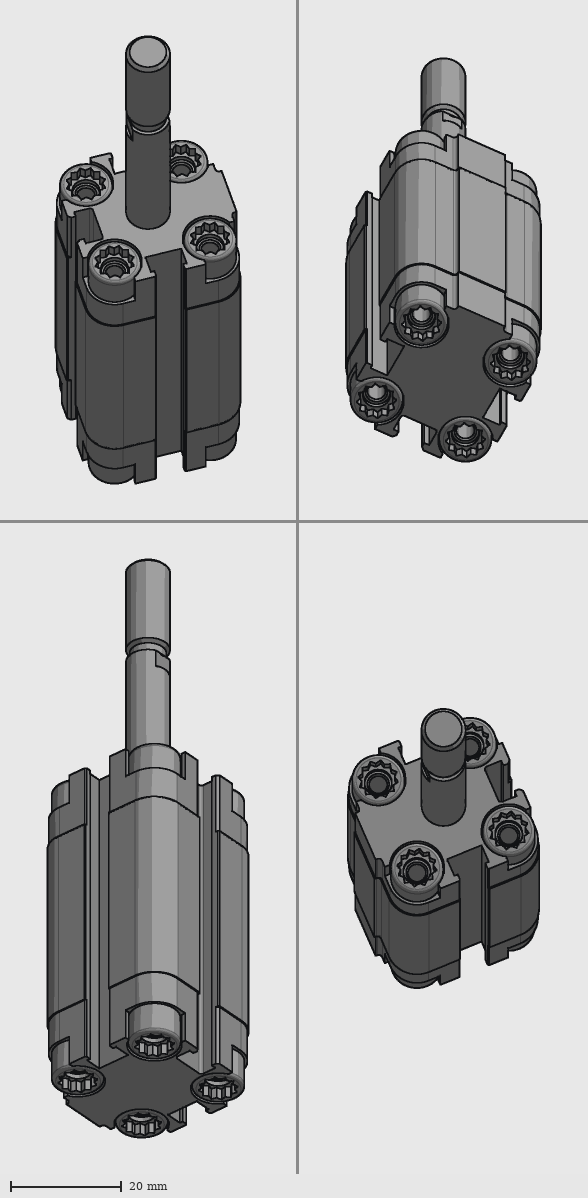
import cadquery as cq
import math


total_height = 112.5
body_height = 63.0
cap_height = 12.4
barrel_height = body_height - 2 * cap_height

barrel_half_width = 14.5
cap_inset = 0.2
screw_offset = 9.0
rib_height = 1.0
rib_half_width = 4.7
rib_root_radius = 0.7

front_slot_mouth_half_width = 2.6
front_slot_floor = 9.5
front_slot_lip_start = 12.8
front_slot_half_width = 3.6
front_slot_floor_fillet = 0.6
side_slot_mouth_half_width = 2.7
side_slot_floor = 9.7
side_slot_lip_start = 13.0
side_slot_half_width = 3.4
mouth_chamfer_size = 0.2
cap_front_chamfer_size = 0.6

boss_diameter = 9.5
boss_recess_diameter = 9.9
boss_height = 6.0
boss_pocket_edge = 6.6
boss_rim_fillet = 0.7
socket_teeth = 12
socket_outer_diameter = 7.2
socket_inner_diameter = 6.0
socket_depth = 2.2
counterbore_diameter = 5.0
counterbore_depth = 3.3
screw_hole_diameter = 3.3
countersink_diameter = 3.9

rod_diameter = 8.0
rod_tip_chamfer = 0.7
neck_diameter = 6.6
neck_bottom = 92.4
thread_bottom = 95.0
flat_spacing = 7.0
flat_height = 3.4

screw_centres = [
    (x, y)
    for x in (-screw_offset, screw_offset)
    for y in (-screw_offset, screw_offset)
]


def turned_about_axis(cutter, angle):
    """Cutter for the -Y side, turned about the Z axis to another side."""
    return cutter.rotate((0, 0, 0), (0, 0, 1), angle)


def rib(height, half_width):
    """Flat rib on the +Y face, with rounded roots."""
    tip = half_width + rib_height
    root_start = half_width + rib_root_radius
    root_end = rib_half_width + rib_root_radius
    arc_offset = rib_root_radius * (1 - math.sqrt(0.5))
    arc_x = rib_half_width + arc_offset
    arc_y = half_width + arc_offset
    return (
        cq.Workplane("XY")
        .moveTo(-root_end, 0)
        .lineTo(-root_end, half_width)
        .threePointArc((-arc_x, arc_y), (-rib_half_width, root_start))
        .lineTo(-rib_half_width, tip)
        .lineTo(rib_half_width, tip)
        .lineTo(rib_half_width, root_start)
        .threePointArc((arc_x, arc_y), (root_end, half_width))
        .lineTo(root_end, 0)
        .close()
        .extrude(height)
    )


def mouth_chamfer(height, half_width, mouth_half_width, chamfer):
    """Cutter that widens a slot mouth at the -Y face by a 45 degree chamfer on each side."""
    return (
        cq.Workplane("XY")
        .polyline([
            (-mouth_half_width - chamfer, -half_width),
            (-mouth_half_width, chamfer - half_width),
            (mouth_half_width, chamfer - half_width),
            (mouth_half_width + chamfer, -half_width),
        ])
        .close()
        .extrude(height)
    )


def body_section(height, inset, front_mouth_chamfer):
    """Length of the rounded square profile with its rib and chamfered slot mouths."""
    half_width = barrel_half_width - inset
    section = (
        cq.Workplane("XY")
        .rect(2 * half_width, 2 * half_width)
        .extrude(height)
        .edges("|Z")
        .fillet(half_width - screw_offset)
        .union(rib(height, half_width))
        .cut(mouth_chamfer(height, half_width, front_slot_mouth_half_width, front_mouth_chamfer))
    )
    side_chamfer = mouth_chamfer(height, half_width, side_slot_mouth_half_width, mouth_chamfer_size)
    for angle in (-90, 90):
        section = section.cut(turned_about_axis(side_chamfer, angle))
    return section


def t_slot(floor, lip_start, half_width, mouth_half_width):
    """T-slot cutter along the whole housing, open through the -Y face."""
    channel_depth = lip_start - floor
    channel = (
        cq.Workplane("XY")
        .center(0, -floor - channel_depth / 2)
        .rect(2 * half_width, channel_depth)
        .extrude(body_height)
    )
    mouth_depth = barrel_half_width - floor
    mouth = (
        cq.Workplane("XY")
        .center(0, -floor - mouth_depth / 2)
        .rect(2 * mouth_half_width, mouth_depth)
        .extrude(body_height)
    )
    return channel.union(mouth)


def boss_clearance(x, y):
    """Material removed around the boss at (x, y) on the upper end of the housing."""
    pocket_floor = body_height - boss_height
    boss_radius = boss_diameter / 2
    boss = (
        cq.Workplane("XY", origin=(x, y, pocket_floor))
        .circle(boss_radius)
        .extrude(boss_height)
        .faces(">Z")
        .edges()
        .fillet(boss_rim_fillet)
    )
    recess = (
        cq.Workplane("XY", origin=(x, y, pocket_floor))
        .circle(boss_recess_diameter / 2)
        .extrude(boss_height)
    )

    corner_size = barrel_half_width - boss_pocket_edge
    corner_centre = boss_pocket_edge + corner_size / 2
    corner = (
        cq.Workplane("XY", origin=(0, 0, pocket_floor))
        .center(math.copysign(corner_centre, x), math.copysign(corner_centre, y))
        .rect(corner_size, corner_size)
        .extrude(boss_height)
    )
    return corner.union(recess).cut(boss)


def screw_socket(x, y):
    """Toothed socket in the upper boss at (x, y), above a counterbore with a countersunk floor."""
    outline = []
    for i in range(2 * socket_teeth):
        angle = math.pi * i / socket_teeth
        radius = (socket_inner_diameter if i % 2 else socket_outer_diameter) / 2
        outline.append((radius * math.cos(angle), radius * math.sin(angle)))
    socket = (
        cq.Workplane("XY", origin=(0, 0, body_height - socket_depth))
        .polyline(outline)
        .close()
        .extrude(socket_depth)
    )

    floor = body_height - counterbore_depth
    counterbore_radius = counterbore_diameter / 2
    hole_radius = screw_hole_diameter / 2
    countersink_radius = countersink_diameter / 2
    countersink_bottom = floor - (countersink_radius - hole_radius)
    stepped_bore = (
        cq.Workplane("XZ")
        .moveTo(0, body_height)
        .lineTo(counterbore_radius, body_height)
        .lineTo(counterbore_radius, floor)
        .lineTo(countersink_radius, floor)
        .lineTo(hole_radius, countersink_bottom)
        .lineTo(0, countersink_bottom)
        .close()
        .revolve(360, (0, 0), (0, 1))
    )
    return socket.union(stepped_bore).translate((x, y, 0))


def make_housing():
    """Housing with a slightly smaller cap section at each end and the same bosses at both ends."""
    cap = body_section(cap_height, cap_inset, cap_front_chamfer_size)
    barrel = body_section(barrel_height, 0, mouth_chamfer_size)
    housing = (
        cap
        .union(barrel.translate((0, 0, cap_height)))
        .union(cap.translate((0, 0, body_height - cap_height)))
    )

    front_slot = t_slot(
        front_slot_floor, front_slot_lip_start, front_slot_half_width, front_slot_mouth_half_width
    )
    housing = housing.cut(front_slot.edges("|Z and >Y").fillet(front_slot_floor_fillet))
    side_slot = t_slot(side_slot_floor, side_slot_lip_start, side_slot_half_width, side_slot_mouth_half_width)
    for angle in (-90, 90):
        housing = housing.cut(turned_about_axis(side_slot, angle))

    housing = housing.cut(
        cq.Workplane("XY").pushPoints(screw_centres).circle(screw_hole_diameter / 2).extrude(body_height)
    )
    mid_height = (0, 0, body_height / 2)
    for x, y in screw_centres:
        for end_cut in (boss_clearance(x, y), screw_socket(x, y)):
            housing = housing.cut(end_cut).cut(end_cut.mirror("XY", mid_height))
    return housing


def make_rod():
    """Piston rod standing on the housing, with a thread undercut and two wrench flats."""
    rod_radius = rod_diameter / 2
    neck_radius = neck_diameter / 2
    rod = (
        cq.Workplane("XZ")
        .moveTo(0, body_height)
        .lineTo(rod_radius, body_height)
        .lineTo(rod_radius, neck_bottom)
        .lineTo(neck_radius, neck_bottom)
        .lineTo(neck_radius, thread_bottom - (rod_radius - neck_radius))
        .lineTo(rod_radius, thread_bottom)
        .lineTo(rod_radius, total_height - rod_tip_chamfer)
        .lineTo(rod_radius - rod_tip_chamfer, total_height)
        .lineTo(0, total_height)
        .close()
        .revolve(360, (0, 0), (0, 1))
    )
    flat_cuts = (
        cq.Workplane("XY", origin=(0, 0, neck_bottom - flat_height))
        .rect(2 * rod_diameter, 2 * rod_diameter)
        .rect(2 * rod_diameter, flat_spacing)
        .extrude(flat_height)
    )
    return rod.cut(flat_cuts)


housing = make_housing()
rod = make_rod()

result = cq.Compound.makeCompound([housing.val(), rod.val()])